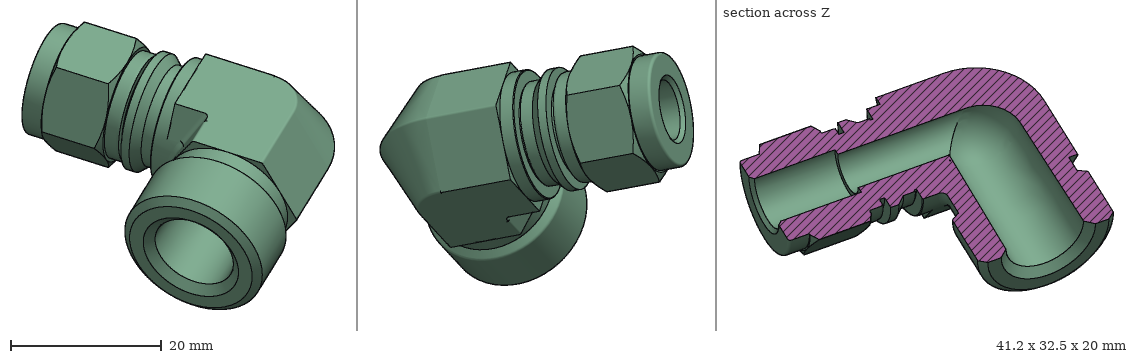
import cadquery as cq
import math


overall_length = 41.25

body_flats = 17.5
body_round = body_flats / 2
body_end_x = -10.0
body_end_y = -10.45
body_edge_radius = 0.4
body_corner_reach = body_round / math.cos(math.pi / 6)
body_reach = body_corner_reach - body_edge_radius * (1 / math.cos(math.pi / 6) - 1)
crotch_radius = 0.85
crotch_blend_end_y = -6.25
crotch_round_height = 6.55

tangent = body_round * math.cos(math.pi / 6)
tangent_height = body_round / 2

margin = 0.05

arm_end = body_reach - overall_length
nut_start = -28.15
nut_end = -19.17
sleeve_end = -17.15
neck_end = -16.45
flange_end = -15.25
cone_end = -14.0
shank_end = -12.3
collar_start = -12.0

ring_radius = 15.5 / 2
sleeve_radius = 15.0 / 2
neck_radius = 12.7 / 2
flange_radius = 16.5 / 2
shank_radius = 14.2 / 2
groove_radius = 6.8
ring_rounding = 0.4
sleeve_bevel_length = 0.35
sleeve_bevel_depth = 0.1
collar_bevel = 0.12
nut_flats = 15.95
nut_chamfer_angle = 30

socket_radius = 8.12 / 2
socket_mouth_radius = 4.6
socket_depth = 12.35
arm_bore_radius = 6.35 / 2

port_radius = 20.0 / 2
port_end = -22.43
port_neck_end = -12.9
port_shoulder = -13.6
port_shoulder_rounding = 0.4
port_face_radius = 8.9
port_chamfer = 0.85
port_mouth_radius = 6.93
port_mouth_depth = 1.1
port_seat_radius = 11.4 / 2
port_bore_radius = 10.9 / 2
port_ball_y = arm_bore_radius - port_bore_radius


def turn_x(profile):
    """Revolve (x, radius) points about the X axis."""
    return cq.Workplane("XY").polyline(profile).close().revolve(360, (0, 0), (1, 0))


def turn_y(profile):
    """Revolve (y, radius) points about the Y axis."""
    points = [(radius, y) for y, radius in profile]
    return cq.Workplane("XY").polyline(points).close().revolve(360, (0, 0), (0, 1))


def cylinder_x(start, end, radius):
    return cq.Workplane("YZ", origin=(start, 0, 0)).circle(radius).extrude(end - start)


def cylinder_y(start, end, radius):
    return cq.Workplane("XZ", origin=(0, end, 0)).circle(radius).extrude(end - start)


def hexagon(plane, flats):
    """Hexagon with two corners on the local horizontal axis."""
    return cq.Workplane(plane).polygon(6, flats / math.cos(math.pi / 6))


def large_box(x_min, y_min):
    """Box from the given X and Y limits that reaches past the body elsewhere."""
    side = 4 * body_flats
    box = cq.Workplane("XY").box(side, side, side, centered=(False, False, True))
    return box.translate((x_min, y_min, 0))


def fillet_crease(arms, height):
    """Fillet the inner crease, on the plane X = Y, up to a height above and below the axes."""
    crease = cq.selectors.BoxSelector(
        (-body_corner_reach - margin, -body_corner_reach - margin, -height - margin),
        (-body_round / 4, -body_round / 4, height + margin), boundingbox=True)
    return arms.edges(crease).fillet(crotch_radius)


def make_flat_crease():
    """Filleted crease between the hexagon flats, down to where they touch the round."""
    arms = hexagon("YZ", body_flats).extrude(-body_flats)
    arms = arms.union(hexagon("XZ", body_flats).extrude(body_flats))
    arms = fillet_crease(arms, body_round)

    lean = math.tan(math.pi / 6)
    side = body_flats
    upper = (
        cq.Workplane(cq.Plane(origin=(-tangent, -tangent, tangent_height), normal=(lean, lean, 1)))
        .rect(side, side)
        .extrude(side)
    )
    corner = cq.Workplane("XY").box(side, side, side).translate((-side / 2, -side / 2, 0))
    half = arms.intersect(upper).intersect(corner).intersect(large_box(body_end_x, body_end_y))
    return half.union(half.mirror("XY"))


def make_round_crease():
    """Filleted crease between the inscribed cylinders."""
    height = crotch_round_height
    arms = cylinder_x(-body_flats, 0, body_round).union(cylinder_y(-body_flats, 0, body_round))
    slab = cq.Workplane("XY").box(4 * body_flats, 4 * body_flats, 2 * height)
    return fillet_crease(arms.intersect(slab), height).intersect(large_box(body_end_x, body_end_y))


def make_inner_edge_waste():
    """Material outside the rounded inner edges of the port arm, clear of the crease."""
    edge_x = -body_corner_reach / 2
    length = crotch_blend_end_y - body_end_y
    block = (
        cq.Workplane("XY")
        .box(2 * body_edge_radius, length, 2 * body_round)
        .translate((edge_x, body_end_y + length / 2, 0))
    )
    middle = cq.Workplane("XY").box(4 * body_flats, 4 * body_flats, 2 * (body_round - body_edge_radius))
    bar = hexagon("XZ", body_flats).extrude(-body_end_y).edges("|Y").fillet(body_edge_radius)
    return block.cut(middle).cut(bar)


def make_body():
    """Hexagonal elbow: sharp flat-side edges on the tube arm, rounded elsewhere."""
    far = 2 * body_flats
    tube_bar = hexagon("YZ", body_flats).extrude(body_end_x)
    tube_bar = tube_bar.edges("|X and >Y").fillet(body_edge_radius)
    outer_edges = cq.selectors.BoxSelector((0, -far, -far), (far, far, far))
    port_bar = hexagon("XZ", body_flats).extrude(-body_end_y)
    port_bar = port_bar.edges("|Y").edges(outer_edges).fillet(body_edge_radius)

    tube_limit = large_box(-far, -tangent).union(cylinder_x(body_end_x, 0, body_round))
    port_limit = large_box(-tangent, -far).union(cylinder_y(body_end_y, 0, body_round))
    arms = tube_bar.intersect(tube_limit).union(port_bar.intersect(port_limit))
    arms = arms.union(make_flat_crease()).union(make_round_crease()).cut(make_inner_edge_waste())

    section = hexagon("XZ", body_flats).extrude(0.4).edges("|Y").fillet(body_edge_radius)
    half_section = section.intersect(large_box(0, -far)).faces(">Y").val()
    bend = cq.Solid.revolve(half_section, 90, cq.Vector(0, 0, 0), cq.Vector(0, 0, 1))
    return arms.union(cq.Workplane(bend))


def make_nut():
    """Hexagon with both ends turned down to the width across flats."""
    flat_radius = nut_flats / 2
    corner_radius = flat_radius / math.cos(math.pi / 6)
    chamfer = (corner_radius - flat_radius) * math.tan(math.radians(nut_chamfer_angle))
    bar = hexagon("YZ", nut_flats).extrude(nut_end - nut_start).translate((nut_start, 0, 0))
    return bar.intersect(turn_x([
        (nut_start, 0),
        (nut_start, flat_radius),
        (nut_start + chamfer, corner_radius),
        (nut_end - chamfer, corner_radius),
        (nut_end, flat_radius),
        (nut_end, 0),
    ]))


def make_tube_arm():
    ring = cylinder_x(arm_end, nut_start, ring_radius).faces("<X").edges().fillet(ring_rounding)
    stem = turn_x([
        (nut_start, 0),
        (nut_start, sleeve_radius),
        (sleeve_end - sleeve_bevel_length, sleeve_radius),
        (sleeve_end, sleeve_radius - sleeve_bevel_depth),
        (sleeve_end, neck_radius),
        (neck_end, neck_radius),
        (neck_end, flange_radius),
        (flange_end, flange_radius),
        (cone_end, shank_radius),
        (shank_end, shank_radius),
        (shank_end, groove_radius),
        (collar_start, groove_radius),
        (collar_start, body_round - collar_bevel),
        (collar_start + collar_bevel, body_round),
        (body_end_x, body_round),
        (body_end_x, 0),
    ])
    return stem.union(ring).union(make_nut())


def make_port():
    port = turn_y([
        (body_end_y, 0),
        (body_end_y, body_round),
        (port_neck_end, body_round),
        (port_shoulder, port_radius),
        (port_end + port_chamfer, port_radius),
        (port_end, port_face_radius),
        (port_end, 0),
    ])
    shoulder_edge = cq.selectors.BoxSelector(
        (-body_flats, port_shoulder - margin, -body_flats),
        (body_flats, port_shoulder + margin, body_flats), boundingbox=True)
    return port.edges(shoulder_edge).fillet(port_shoulder_rounding)


def make_tube_bore():
    mouth_depth = socket_mouth_radius - socket_radius
    return turn_x([
        (arm_end, 0),
        (arm_end, socket_mouth_radius),
        (arm_end + mouth_depth, socket_radius),
        (arm_end + socket_depth, socket_radius),
        (arm_end + socket_depth, arm_bore_radius),
        (0, arm_bore_radius),
        (0, 0),
    ])


def make_port_bore():
    """Slightly tapered bore with a ball end that reaches the far side of the arm bore."""
    bore = turn_y([
        (port_end, 0),
        (port_end, port_mouth_radius),
        (port_end + port_mouth_depth, port_seat_radius),
        (port_ball_y, port_bore_radius),
        (port_ball_y, 0),
    ])
    ball = cq.Workplane("XY").sphere(port_bore_radius).translate((0, port_ball_y, 0))
    return bore.union(ball)


solid_parts = make_body().union(make_tube_arm()).union(make_port())
result = solid_parts.cut(make_tube_bore()).cut(make_port_bore())